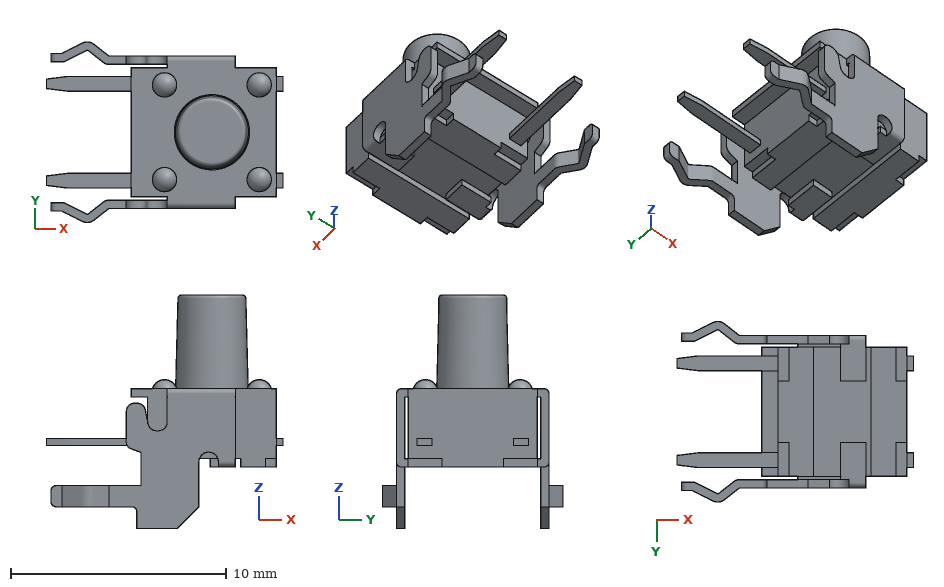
import cadquery as cq
import math


OVERALL_LENGTH = 11.0
OVERALL_WIDTH = 8.4
OVERALL_HEIGHT = 10.85

BODY_SIZE = 6.0
BODY_HALF = BODY_SIZE / 2
FOOT_HEIGHT = 0.4
FOOT_INNER_X = 1.34
FOOT_OUTER_X = 2.49
FOOT_HALF_WIDTH = 1.42

SHEET = 0.4
COVER_TOP = 3.65
COVER_UNDERSIDE = COVER_TOP - SHEET
COVER_LEFT = -3.75
BEND_RADIUS = 0.25
SIDE_OUTER_Y = 3.55
SIDE_INNER_Y = SIDE_OUTER_Y - SHEET
TAB_LEFT = -2.08
TAB_RIGHT = 1.09
BUTTON_HOLE_DIAMETER = 3.5

BUTTON_TOP = 8.0
BUTTON_BASE_RADIUS = 1.7
BUTTON_TOP_RADIUS = 1.58
BUTTON_EDGE_RADIUS = 0.16

DOME_SPACING = 4.4
DOME_RADIUS = 0.565
DOME_HEIGHT = 0.42

PIN_LEFT = -7.69
PIN_RIGHT = PIN_LEFT + OVERALL_LENGTH
PIN_PITCH = 4.5
PIN_WIDTH = 0.7
PIN_TIP_WIDTH = 0.45
PIN_TAPER_LENGTH = 1.0
PIN_THICKNESS = 0.34
PIN_CENTER_Z = 1.17

LEG_BOTTOM = BUTTON_TOP - OVERALL_HEIGHT
LEG_LEFT = -3.5
LEG_RIGHT = -0.6
LEG_CHAMFER = 1.0
ARM_HEIGHT = 1.0
ARM_BOTTOM = LEG_BOTTOM + LEG_CHAMFER
ARM_TOP = ARM_BOTTOM + ARM_HEIGHT
ARM_CORNER_RADIUS = 0.2
NECK_LEFT = -3.3
NECK_TOP = 0.68
RELIEF_RADIUS = 0.45
RELIEF_CENTER_X = LEG_RIGHT + RELIEF_RADIUS
RELIEF_CENTER_Z = 0.25
RELIEF_RIGHT = RELIEF_CENTER_X + RELIEF_RADIUS
HOOK_RADIUS = 0.4
HOOK_FLAT = 0.1
HOOK_LEFT = -3.98
HOOK_CENTER_Z = 2.58
HOOK_BOTTOM = 0.935
HOOK_BOTTOM_RADIUS = 0.35
SLOT_RADIUS = 0.4
SLOT_FLAT = 0.09
SLOT_CENTER_Z = 2.09

FLANGE_LEFT = -0.08

ARM_ROOT_X = -4.5
ARM_BEND_X = -4.79
ARM_PEAK_X = -5.79
ARM_PEAK_Y = OVERALL_WIDTH / 2
ARM_PEAK_INNER_RADIUS = 0.1
ARM_PEAK_OUTER_RADIUS = ARM_PEAK_INNER_RADIUS + SHEET
ARM_TIP_BEND_X = -6.87
ARM_TIP_Y = 3.27
ARM_END_X = -7.48
ARM_END_RADIUS = 0.25


def block(x_range, y_range, z_range):
    """Axis-aligned box between pairs of limits."""
    size = [high - low for low, high in (x_range, y_range, z_range)]
    corner = (x_range[0], y_range[0], z_range[0])
    return cq.Workplane("XY").box(*size, centered=False).translate(corner)


def polar(center, radius, angle):
    """Point on a circle."""
    return (center[0] + radius * math.cos(angle), center[1] + radius * math.sin(angle))


def fillet_edge_near(solid, point, radius):
    """Round the one edge whose middle is closest to a point."""
    return solid.edges(cq.selectors.NearestToPointSelector(point)).fillet(radius)


def make_body():
    """Square housing with a stepped foot along each end."""
    body = block((-BODY_HALF, BODY_HALF), (-BODY_HALF, BODY_HALF), (FOOT_HEIGHT, COVER_UNDERSIDE))
    for side in (-1, 1):
        full_x = sorted((side * FOOT_INNER_X, side * FOOT_OUTER_X))
        narrow_x = sorted((side * FOOT_OUTER_X, side * BODY_HALF))
        body = body.union(block(full_x, (-BODY_HALF, BODY_HALF), (0, FOOT_HEIGHT)))
        body = body.union(block(narrow_x, (-FOOT_HALF_WIDTH, FOOT_HALF_WIDTH), (0, FOOT_HEIGHT)))
    return body


def make_cover():
    """Flat top sheet with the button opening."""
    cover = block((COVER_LEFT, BODY_HALF), (-BODY_HALF, BODY_HALF), (COVER_UNDERSIDE, COVER_TOP))
    hole = cq.Workplane("XY").workplane(offset=COVER_UNDERSIDE).circle(BUTTON_HOLE_DIAMETER / 2)
    return cover.cut(hole.extrude(SHEET))


def make_button():
    """Slightly tapered button with a rounded top edge."""
    button = (
        cq.Workplane("XY").workplane(offset=COVER_UNDERSIDE).circle(BUTTON_BASE_RADIUS)
        .workplane(offset=BUTTON_TOP - COVER_UNDERSIDE).circle(BUTTON_TOP_RADIUS)
        .loft()
    )
    return button.faces(">Z").edges().fillet(BUTTON_EDGE_RADIUS)


def make_dome(x, y):
    """Spherical cap on the cover, with its root sunk into the sheet."""
    sphere_radius = (DOME_RADIUS**2 + DOME_HEIGHT**2) / (2 * DOME_HEIGHT)
    sphere = cq.Workplane("XY").sphere(sphere_radius)
    sphere = sphere.translate((x, y, COVER_TOP + DOME_HEIGHT - sphere_radius))
    reach = 2 * sphere_radius
    cap_bottom = COVER_TOP - SHEET / 2
    cap_zone = block((x - reach, x + reach), (y - reach, y + reach), (cap_bottom, BUTTON_TOP))
    return sphere.intersect(cap_zone)


def make_pin(y):
    """Flat terminal with a tapered tip, running through the body."""
    taper_end = PIN_LEFT + PIN_TAPER_LENGTH
    outline = [
        (PIN_LEFT, y - PIN_TIP_WIDTH / 2),
        (taper_end, y - PIN_WIDTH / 2),
        (PIN_RIGHT, y - PIN_WIDTH / 2),
        (PIN_RIGHT, y + PIN_WIDTH / 2),
        (taper_end, y + PIN_WIDTH / 2),
        (PIN_LEFT, y + PIN_TIP_WIDTH / 2),
    ]
    plane = cq.Workplane("XY").workplane(offset=PIN_CENTER_Z - PIN_THICKNESS / 2)
    return plane.polyline(outline).close().extrude(PIN_THICKNESS)


def make_side_plate():
    """Flat side plate on the +Y side, with its hook, slot, relief and leg."""
    up = math.pi / 2
    down = -math.pi / 2
    hook_left = (HOOK_LEFT + HOOK_RADIUS, HOOK_CENTER_Z)
    hook = (hook_left[0] + HOOK_FLAT, HOOK_CENTER_Z)
    slot_right = (TAB_LEFT - SLOT_RADIUS, SLOT_CENTER_Z)
    slot = (slot_right[0] - SLOT_FLAT, SLOT_CENTER_Z)
    run = slot[0] - hook[0]
    drop = slot[1] - hook[1]
    tangent = math.atan2(drop, run) + math.acos((HOOK_RADIUS + SLOT_RADIUS) / math.hypot(run, drop))

    plate = (
        cq.Workplane("XZ", origin=(0, SIDE_OUTER_Y, 0))
        .moveTo(TAB_RIGHT, COVER_TOP)
        .lineTo(TAB_RIGHT, 0)
        .lineTo(RELIEF_RIGHT, 0)
        .lineTo(RELIEF_RIGHT, RELIEF_CENTER_Z)
        .threePointArc((RELIEF_CENTER_X, RELIEF_CENTER_Z + RELIEF_RADIUS), (LEG_RIGHT, RELIEF_CENTER_Z))
        .lineTo(LEG_RIGHT, LEG_BOTTOM + LEG_CHAMFER)
        .lineTo(LEG_RIGHT - LEG_CHAMFER, LEG_BOTTOM)
        .lineTo(LEG_LEFT, LEG_BOTTOM)
        .lineTo(LEG_LEFT, ARM_BOTTOM)
        .lineTo(ARM_ROOT_X, ARM_BOTTOM)
        .lineTo(ARM_ROOT_X, ARM_TOP)
        .lineTo(NECK_LEFT, ARM_TOP)
        .lineTo(NECK_LEFT, NECK_TOP)
        .lineTo(HOOK_LEFT, HOOK_BOTTOM)
        .lineTo(HOOK_LEFT, HOOK_CENTER_Z)
        .threePointArc(polar(hook_left, HOOK_RADIUS, math.pi * 3 / 4), polar(hook_left, HOOK_RADIUS, up))
        .lineTo(*polar(hook, HOOK_RADIUS, up))
        .threePointArc(polar(hook, HOOK_RADIUS, (up + tangent) / 2), polar(hook, HOOK_RADIUS, tangent))
        .lineTo(*polar(slot, SLOT_RADIUS, tangent - math.pi))
        .threePointArc(
            polar(slot, SLOT_RADIUS, (tangent - math.pi + down) / 2),
            polar(slot, SLOT_RADIUS, down),
        )
        .lineTo(*polar(slot_right, SLOT_RADIUS, down))
        .threePointArc(polar(slot_right, SLOT_RADIUS, -math.pi / 4), (TAB_LEFT, SLOT_CENTER_Z))
        .lineTo(TAB_LEFT, COVER_TOP)
        .close()
        .extrude(SHEET)
    )
    middle_y = SIDE_OUTER_Y - SHEET / 2
    plate = fillet_edge_near(plate, (LEG_LEFT, middle_y, ARM_BOTTOM), ARM_CORNER_RADIUS)
    return fillet_edge_near(plate, (HOOK_LEFT, middle_y, HOOK_BOTTOM), HOOK_BOTTOM_RADIUS)


def tangent_slope(run, rise, radius):
    """Slope angle of a line that starts this far from a circle centre and passes over the circle."""
    return math.atan2(rise, run) + math.asin(radius / math.hypot(run, rise))


def make_snap_arm():
    """Bent strip that continues the side plate and peaks outwards before its tip."""
    up = math.pi / 2
    root_bend = (ARM_BEND_X, SIDE_OUTER_Y)
    peak = (ARM_PEAK_X, ARM_PEAK_Y - ARM_PEAK_OUTER_RADIUS)
    rise_angle = tangent_slope(root_bend[0] - peak[0], peak[1] - root_bend[1], ARM_PEAK_OUTER_RADIUS)
    fall_angle = tangent_slope(peak[0] - ARM_TIP_BEND_X, peak[1] - ARM_TIP_Y, ARM_PEAK_INNER_RADIUS)
    tip_shift = SHEET * math.tan(fall_angle / 2)
    arm = (
        cq.Workplane("XY", origin=(0, 0, ARM_BOTTOM))
        .moveTo(ARM_ROOT_X, SIDE_INNER_Y)
        .lineTo(ARM_BEND_X, SIDE_INNER_Y)
        .threePointArc(
            polar(root_bend, SHEET, -up - rise_angle / 2),
            polar(root_bend, SHEET, -up - rise_angle),
        )
        .lineTo(*polar(peak, ARM_PEAK_INNER_RADIUS, up - rise_angle))
        .threePointArc(
            polar(peak, ARM_PEAK_INNER_RADIUS, up),
            polar(peak, ARM_PEAK_INNER_RADIUS, up + fall_angle),
        )
        .lineTo(ARM_TIP_BEND_X, ARM_TIP_Y)
        .lineTo(ARM_END_X, ARM_TIP_Y)
        .lineTo(ARM_END_X, ARM_TIP_Y + SHEET)
        .lineTo(ARM_TIP_BEND_X - tip_shift, ARM_TIP_Y + SHEET)
        .lineTo(*polar(peak, ARM_PEAK_OUTER_RADIUS, up + fall_angle))
        .threePointArc(
            polar(peak, ARM_PEAK_OUTER_RADIUS, up),
            polar(peak, ARM_PEAK_OUTER_RADIUS, up - rise_angle),
        )
        .lineTo(*root_bend)
        .lineTo(ARM_ROOT_X, SIDE_OUTER_Y)
        .close()
        .extrude(ARM_HEIGHT)
    )
    return arm.faces("<X").edges("|Y").fillet(ARM_END_RADIUS)


def make_bracket():
    """Side plate on the +Y side with its bends, under-body flange and snap arm."""
    tab_center_x = (TAB_LEFT + TAB_RIGHT) / 2
    lower_bend_center_x = (RELIEF_RIGHT + TAB_RIGHT) / 2
    bracket = make_side_plate()
    top_bend = block((TAB_LEFT, TAB_RIGHT), (BODY_HALF, SIDE_OUTER_Y), (COVER_UNDERSIDE, COVER_TOP))
    flange = block((FLANGE_LEFT, TAB_RIGHT), (FOOT_HALF_WIDTH, SIDE_INNER_Y), (0, FOOT_HEIGHT))
    bracket = bracket.union(top_bend)
    bracket = fillet_edge_near(bracket, (tab_center_x, SIDE_OUTER_Y, COVER_TOP), BEND_RADIUS)
    bracket = fillet_edge_near(bracket, (lower_bend_center_x, SIDE_OUTER_Y, 0), BEND_RADIUS)
    return bracket.union(flange).union(make_snap_arm())


result = make_body().union(make_cover()).union(make_button())
for side in (-1, 1):
    result = result.union(make_pin(side * PIN_PITCH / 2))
    for end in (-1, 1):
        result = result.union(make_dome(end * DOME_SPACING / 2, side * DOME_SPACING / 2))
bracket = make_bracket()
result = result.union(bracket).union(bracket.mirror("XZ"))